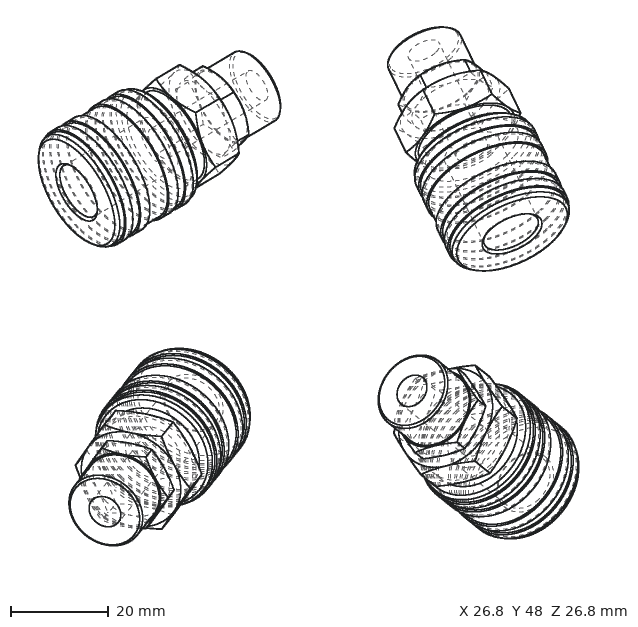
import cadquery as cq
import math

sleeve_end = 22.0
neck_end = 25.5
large_hex_end = 33.75
small_hex_end = 38.55
overall_length = 48.0

sleeve_diameter = 25.9
sleeve_chamfer = 0.7
ring_diameter = 26.8
neck_diameter = 20.65
tail_diameter = 16.3
tail_chamfer = 0.5

ring_spans = [(1.95, 3.9), (5.9, 8.4), (13.45, 15.95), (17.9, 19.95)]

large_hex_flats = 22.0
small_hex_flats = 17.0
hex_chamfer_angle = 30.0

socket_diameter = 12.1
socket_depth = sleeve_end
socket_chamfer = 0.6
passage_diameter = 7.0


def section_plane(start):
    """Plane across the axis at Y = start, with its normal along +Y."""
    return cq.Workplane(cq.Plane(origin=(0, start, 0), xDir=(1, 0, 0), normal=(0, 1, 0)))


def cylinder(diameter, start, end):
    return section_plane(start).circle(diameter / 2).extrude(end - start)


def hexagon(flats, start, end):
    """Hexagon with corners on the X axis and conical chamfers at both ends."""
    corner_diameter = flats / math.cos(math.radians(30))
    prism = section_plane(start).polygon(6, corner_diameter).extrude(end - start)
    flat_radius = flats / 2
    corner_radius = corner_diameter / 2
    setback = (corner_radius - flat_radius) * math.tan(math.radians(hex_chamfer_angle))
    cone_radius = 2 * corner_radius - flat_radius
    envelope = (
        cq.Workplane("XY")
        .moveTo(0, start)
        .lineTo(flat_radius, start)
        .lineTo(cone_radius, start + 2 * setback)
        .lineTo(cone_radius, end - 2 * setback)
        .lineTo(flat_radius, end)
        .lineTo(0, end)
        .close()
        .revolve(360, (0, 0, 0), (0, 1, 0))
    )
    return prism.intersect(envelope)


body = cylinder(sleeve_diameter, 0, sleeve_end).faces("<Y or >Y").chamfer(sleeve_chamfer)
for ring_start, ring_end in ring_spans:
    body = body.union(cylinder(ring_diameter, ring_start, ring_end))

body = body.union(cylinder(neck_diameter, sleeve_end, neck_end))
body = body.union(hexagon(large_hex_flats, neck_end, large_hex_end))
body = body.union(hexagon(small_hex_flats, large_hex_end, small_hex_end))
tail = cylinder(tail_diameter, small_hex_end, overall_length).faces(">Y").chamfer(tail_chamfer)
body = body.union(tail)

socket = cylinder(socket_diameter, 0, socket_depth)
mouth = (
    section_plane(0)
    .circle(socket_diameter / 2 + socket_chamfer)
    .workplane(offset=socket_chamfer)
    .circle(socket_diameter / 2)
    .loft()
)
passage = cylinder(passage_diameter, 0, overall_length)
result = body.cut(socket).cut(mouth).cut(passage)